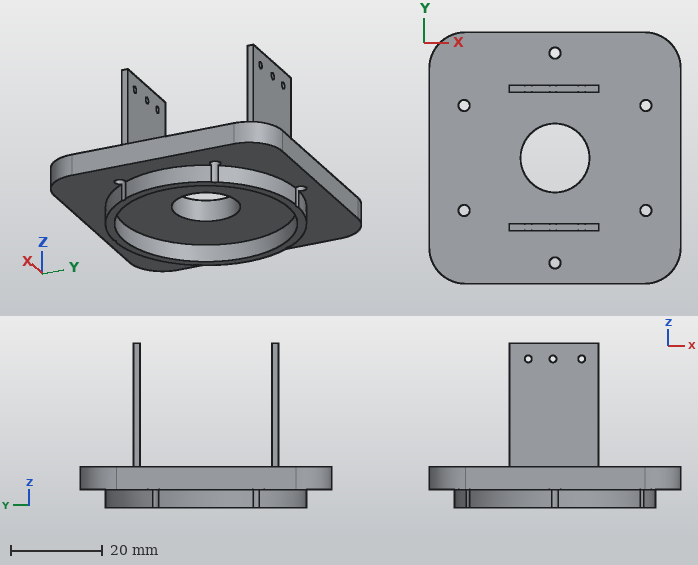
import cadquery as cq

plate_side = 55.0
plate_thickness = 5.0
corner_radius = 7.9
bore_diameter = 15.0

ring_outer_diameter = 44.0
ring_inner_diameter = 40.0
ring_height = 4.0

bolt_hole_count = 6
bolt_hole_diameter = 2.4
bolt_circle_radius = 22.95
first_bolt_angle = 90.0

tab_width = 19.5
tab_thickness = 1.5
tab_height = 27.0
tab_offset_x = -0.2
tab_spacing = 30.3
tab_hole_diameter = 1.5
tab_hole_depth_from_top = 3.45
tab_hole_positions_x = (-5.85, -0.45, 5.85)

plate_top = ring_height + plate_thickness
total_height = plate_top + tab_height


def make_plate():
    return (
        cq.Workplane("XY", origin=(0, 0, ring_height))
        .rect(plate_side, plate_side)
        .extrude(plate_thickness)
        .edges("|Z")
        .fillet(corner_radius)
        .faces(">Z")
        .workplane()
        .hole(bore_diameter)
    )


def make_ring():
    return (
        cq.Workplane("XY")
        .circle(ring_outer_diameter / 2)
        .circle(ring_inner_diameter / 2)
        .extrude(ring_height)
    )


def make_bolt_holes():
    return (
        cq.Workplane("XY")
        .polarArray(bolt_circle_radius, first_bolt_angle, 360, bolt_hole_count)
        .circle(bolt_hole_diameter / 2)
        .extrude(plate_top)
    )


def make_tabs():
    return (
        cq.Workplane("XY", origin=(tab_offset_x, 0, plate_top))
        .rarray(0.55, tab_spacing, 1, 2)
        .rect(tab_width, tab_thickness)
        .extrude(tab_height)
    )


def make_tab_holes():
    hole_height = total_height - tab_hole_depth_from_top
    return (
        cq.Workplane("XZ")
        .pushPoints([(x, hole_height) for x in tab_hole_positions_x])
        .circle(tab_hole_diameter / 2)
        .extrude(plate_side / 2, both=True)
    )


result = (
    make_plate()
    .union(make_ring())
    .cut(make_bolt_holes())
    .union(make_tabs())
    .cut(make_tab_holes())
)